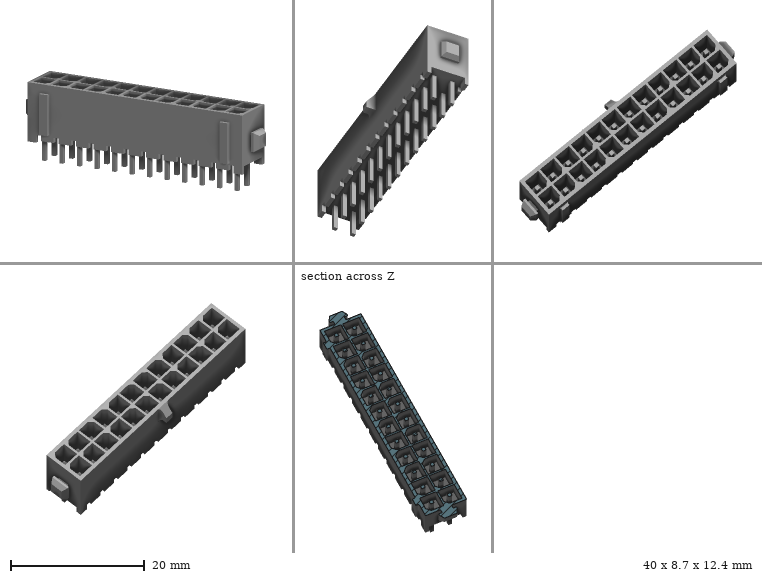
import cadquery as cq
import math


pitch = 3.0
chamfer_sides = ("RRLRLLLRLLRR", "RRLRLLLLRLRR")
columns = len(chamfer_sides[0])
rows = len(chamfer_sides)
contact_shift_y = -0.05

overall_length = 40.0
overall_height = 12.4
body_length = 36.75
body_width = 6.9
body_height = 9.25
half_width = body_width / 2

pocket_size = 2.65
pocket_chamfer = 0.65
pocket_depth = 6.8

channel_width = 5.6
channel_height = 1.2
wall_standoff = 0.35
notch_width = 0.9

pin_size = 0.65
pin_tail = overall_height - body_height
pin_recess = 2.4

tab_reach = (overall_length - body_length) / 2
tab_neck_length = 0.5
tab_rim_thickness = 0.35
tab_neck_size = 1.9
tab_rim_size = 3.0
tab_tip_size = 2.1
tab_drop = 4.6
tab_z = body_height - tab_drop

rib_width = 1.3
rib_reach = 0.5
rib_height = 6.4
rib_fillet = 0.2
rib_x = 15.45
rib_drop = 1.4
rib_top = body_height - rib_drop

latch_width = 1.3
latch_reach = 1.3
latch_drop = 2.9
latch_slope_drop = 1.65
latch_fillet = 0.55


def column_x(column):
    return (column - (columns - 1) / 2) * pitch


def row_y(row):
    return (row - (rows - 1) / 2) * pitch


def box(length, width, height, x, y, bottom):
    """Box centred on (x, y) that rises from the given bottom height."""
    return cq.Workplane("XY").box(length, width, height, centered=(True, True, False)).translate((x, y, bottom))


def make_pocket(row, column):
    """Square pocket, open at the top, with one front corner chamfered."""
    corner = ">X and <Y" if chamfer_sides[row][column] == "R" else "<X and <Y"
    pocket = box(pocket_size, pocket_size, pocket_depth, 0, 0, body_height - pocket_depth)
    pocket = pocket.edges("|Z").edges(corner).chamfer(pocket_chamfer)
    return pocket.translate((column_x(column), row_y(row), 0))


def make_pin(row, column):
    """Square pin from below the seating plane up into its pocket."""
    length = body_height - pin_recess + pin_tail
    return box(pin_size, pin_size, length, column_x(column), row_y(row) + contact_shift_y, -pin_tail)


def arc_inset(radius):
    """Distance from either tangent wall to the middle of a quarter-round fillet."""
    return radius * (1 - math.cos(math.radians(45)))


def flared_plan(width, reach, fillet):
    """Plan of a boss growing along +Y from y = 0, with concave fillets at its root."""
    half = width / 2
    bend = arc_inset(fillet)
    return (
        cq.Workplane("XY")
        .moveTo(-half - fillet, 0)
        .threePointArc((-half - bend, bend), (-half, fillet))
        .lineTo(-half, reach)
        .lineTo(half, reach)
        .lineTo(half, fillet)
        .threePointArc((half + bend, bend), (half + fillet, 0))
        .close()
    )


def make_rib(x):
    """Upright polarising rib on the front wall."""
    rib = flared_plan(rib_width, rib_reach, rib_fillet).extrude(rib_height)
    return rib.rotate((0, 0, 0), (0, 0, 1), 180).translate((x, -half_width, rib_top - rib_height))


def make_latch():
    """Ramp on the rear wall: sloped top, flat catch underneath, filleted root."""
    bend = arc_inset(latch_fillet)
    plan = flared_plan(latch_width, latch_reach, latch_fillet).extrude(latch_drop + latch_fillet)
    root_width = latch_width + 2 * latch_fillet
    side = (
        cq.Workplane("YZ")
        .moveTo(0, 0)
        .lineTo(0, latch_drop + latch_fillet)
        .lineTo(latch_reach, latch_drop + latch_fillet - latch_slope_drop)
        .lineTo(latch_reach, latch_fillet)
        .lineTo(latch_fillet, latch_fillet)
        .threePointArc((bend, latch_fillet - bend), (0, 0))
        .close()
        .extrude(root_width / 2, both=True)
    )
    return plan.intersect(side).translate((0, half_width, body_height - latch_drop - latch_fillet))


def make_end_tab():
    """Snap tab on the +X end: neck, square rim and tapered tip."""
    neck = cq.Workplane("YZ").rect(tab_neck_size, tab_neck_size).extrude(tab_neck_length)
    rim = (
        cq.Workplane("YZ", origin=(tab_neck_length, 0, 0))
        .rect(tab_rim_size, tab_rim_size)
        .extrude(tab_rim_thickness)
    )
    tip_start = tab_neck_length + tab_rim_thickness
    tip = (
        cq.Workplane("YZ", origin=(tip_start, 0, 0))
        .rect(tab_rim_size, tab_rim_size)
        .workplane(offset=tab_reach - tip_start)
        .rect(tab_tip_size, tab_tip_size)
        .loft()
    )
    return neck.union(rim).union(tip).translate((body_length / 2, 0, tab_z))


def make_housing():
    """Block with an underside channel, raised and notched long walls, and pockets."""
    housing = box(body_length, body_width, body_height, 0, 0, 0)
    housing = housing.cut(box(body_length, channel_width, channel_height, 0, contact_shift_y, 0))
    wall_span = 2 * column_x(columns - 1)
    housing = housing.cut(box(wall_span, body_width, wall_standoff, 0, 0, 0))
    for column in range(columns):
        housing = housing.cut(box(notch_width, body_width, channel_height, column_x(column), 0, 0))
        for row in range(rows):
            housing = housing.cut(make_pocket(row, column))
    return housing


result = make_housing().union(make_latch())
for side in (-1, 1):
    result = result.union(make_rib(side * rib_x))
end_tab = make_end_tab()
result = result.union(end_tab).union(end_tab.mirror("YZ"))
for row in range(rows):
    for column in range(columns):
        result = result.union(make_pin(row, column))